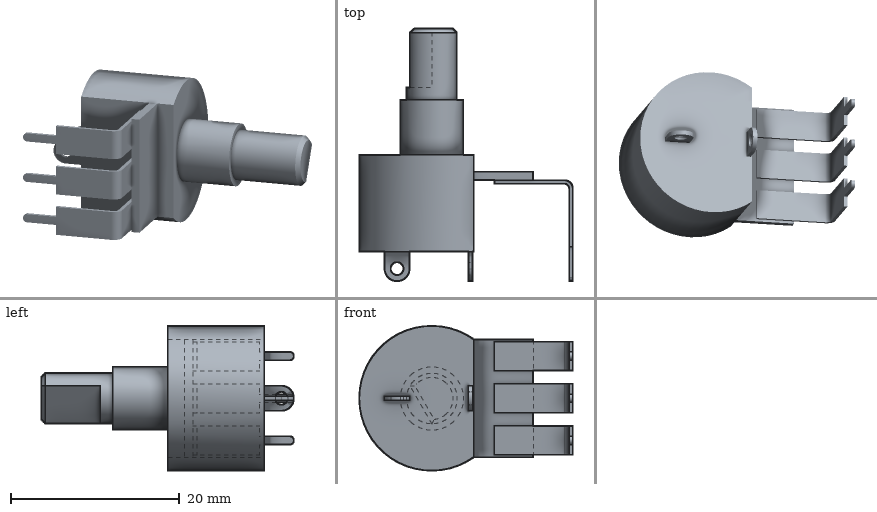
import cadquery as cq
import math


body_radius = 8.6
body_length = 11.5
body_flat_x = 5.0

bushing_diameter = 7.5
bushing_length = 6.5
shaft_diameter = 6.0
shaft_length = 8.5
shaft_chamfer = 0.5
shaft_flat_length = 7.0
shaft_flat_offset = 1.5
shaft_flat_angle = 30.0

board_end_x = 12.05
board_front_y = -2.0
board_thickness = 1.0

terminal_pitch = 5.0
terminal_rows = (-1, 0, 1)
terminal_width = 3.45
terminal_thickness = 0.45
terminal_start_x = 7.45
terminal_end_x = 16.75
terminal_bend_radius = 1.0
pin_length = 4.1
pin_width = 1.0

lug_length = 3.5
lug_width = 3.0
lug_thickness = 0.5
lug_hole_diameter = 1.5
left_lug_x = -4.1
right_lug_x = 4.6

body_rear_y = -body_length
legs_end_y = body_rear_y - lug_length
shaft_tip_y = bushing_length + shaft_length
board_height = 2 * math.sqrt(body_radius**2 - body_flat_x**2)
board_rear_y = board_front_y - board_thickness


def cylinder_along_y(radius, start_y, end_y):
    base = cq.Workplane("XZ", origin=(0, start_y, 0))
    return base.circle(radius).extrude(start_y - end_y)


def box_between(x_range, y_range, z_range):
    low_x, high_x = x_range
    low_y, high_y = y_range
    low_z, high_z = z_range
    box = cq.Workplane("XY").box(high_x - low_x, high_y - low_y, high_z - low_z, centered=False)
    return box.translate((low_x, low_y, low_z))


def make_body():
    half_flat = board_height / 2
    outline = (
        cq.Workplane("XZ")
        .moveTo(body_flat_x, half_flat)
        .threePointArc((-body_radius, 0), (body_flat_x, -half_flat))
        .close()
    )
    return outline.extrude(body_length)


def make_shaft():
    shaft_radius = shaft_diameter / 2
    shaft = cylinder_along_y(shaft_radius, 0, shaft_tip_y)
    flat_cut = box_between(
        (-shaft_diameter, -shaft_flat_offset),
        (shaft_tip_y - shaft_flat_length, shaft_tip_y),
        (-shaft_diameter, shaft_diameter),
    )
    shaft = shaft.cut(flat_cut.rotate((0, 0, 0), (0, 1, 0), -shaft_flat_angle))
    return shaft.faces(">Y").chamfer(shaft_chamfer)


def make_board():
    half_height = board_height / 2
    return box_between((0, board_end_x), (board_rear_y, board_front_y), (-half_height, half_height))


def make_terminal(center_z):
    inner_bend_radius = terminal_bend_radius - terminal_thickness
    inner_x = terminal_end_x - terminal_thickness
    inner_y = board_rear_y - terminal_thickness
    shoulder_y = legs_end_y + pin_length

    strip = (
        cq.Workplane("XY", origin=(0, 0, center_z))
        .moveTo(terminal_start_x, board_rear_y)
        .lineTo(terminal_end_x - terminal_bend_radius, board_rear_y)
        .radiusArc((terminal_end_x, board_rear_y - terminal_bend_radius), terminal_bend_radius)
        .lineTo(terminal_end_x, shoulder_y)
        .lineTo(inner_x, shoulder_y)
        .lineTo(inner_x, inner_y - inner_bend_radius)
        .radiusArc((inner_x - inner_bend_radius, inner_y), -inner_bend_radius)
        .lineTo(terminal_start_x, inner_y)
        .close()
        .extrude(terminal_width / 2, both=True)
    )

    pin_radius = pin_width / 2
    tip_start_y = legs_end_y + pin_radius
    pin = (
        cq.Workplane("YZ", origin=(inner_x, 0, center_z))
        .moveTo(shoulder_y, pin_radius)
        .lineTo(tip_start_y, pin_radius)
        .threePointArc((legs_end_y, 0), (tip_start_y, -pin_radius))
        .lineTo(shoulder_y, -pin_radius)
        .close()
        .extrude(terminal_thickness)
    )
    return strip.union(pin)


def make_lug():
    """Round-ended lug lying flat on Z = 0, centred on X = 0, behind the rear face."""
    half_width = lug_width / 2
    hole_y = legs_end_y + half_width
    return (
        cq.Workplane("XY")
        .moveTo(-half_width, body_rear_y)
        .lineTo(-half_width, hole_y)
        .threePointArc((0, legs_end_y), (half_width, hole_y))
        .lineTo(half_width, body_rear_y)
        .close()
        .moveTo(0, hole_y)
        .circle(lug_hole_diameter / 2)
        .extrude(lug_thickness / 2, both=True)
    )


left_lug = make_lug().translate((left_lug_x, 0, 0))
right_lug = make_lug().rotate((0, 0, 0), (0, 1, 0), 90).translate((right_lug_x, 0, 0))

result = make_body()
result = result.union(cylinder_along_y(bushing_diameter / 2, 0, bushing_length))
result = result.union(make_shaft())
result = result.union(make_board())
for row in terminal_rows:
    result = result.union(make_terminal(row * terminal_pitch))
result = result.union(left_lug).union(right_lug)